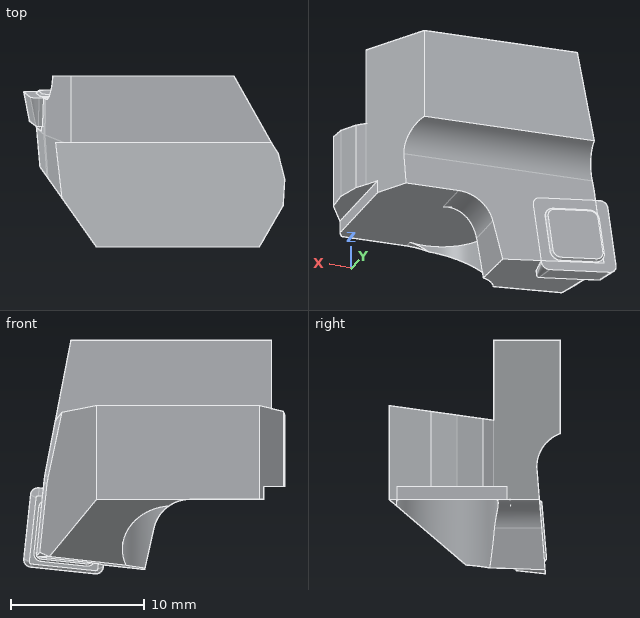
import cadquery as cq
import math

LENGTH = 19.62
DEPTH = 12.87
HEIGHT = 17.56

STEP_Y = 7.85
STEP_Z = 11.55
SHOULDER_FRONT_Z = 12.65
FRONT_BOTTOM_Z = 5.6
NOSE_FRONT_Y = 6.55
GROOVE_RADIUS = 2.65
GROOVE_Y = 11.1
GROOVE_Z = 8.05

FRONT_LEFT_X = 5.47
FRONT_LEFT_Y = 7.77
RIGHT_OUTLINE = [(17.7, 0), (19.5, 3.14), (LENGTH, 5.1), (19.13, 7.05), (18.62, STEP_Y), (15.8, DEPTH)]
RIGHT_STEP_X = 18.05
RIGHT_STEP_Z = 6.55

LEFT_FACES_POINT = (1.55, 8.45, 7.28)
REAR_UPPER_SLOPES = (0, 0.194)
REAR_LOWER_SLOPES = (0.0094, 0.1)
FRONT_UPPER_SLOPES = (-0.088, 0.187)
FRONT_LOWER_SLOPES = (-0.079, 0.093)
BEND_DEPTH = 0.014

NOSE_BOTTOM_POINT = (1.88, 5.1, 1.31)
NOSE_BOTTOM_NORMAL = (-0.11, -0.03, -1)
NOSE_CORNER_NORMAL = (-0.67, -0.15, -1)

UNDERCUT_RADIUS = 2.75
UNDERCUT_X = 12.48
UNDERCUT_ANGLE = 12.6
SCOOP_RADIUS = 3.83
SCOOP_CENTER = (11.25, 4.38)

INSERT_SIDE = 6.02
INSERT_CORNER_RADIUS = 0.59
INSERT_THICKNESS = 2.2
INSERT_TURN = -6.0
INSERT_CORNER = (-0.05, 0.57)
RAKE_Y = 11.75
RAKE_ANGLE = 4.75
RELIEF_ANGLE = 11.0
CHIP_RIM = 0.82
CHIP_HEIGHT = 0.18
CHIP_SLOPE_ANGLE = 45.0
PAD_INSET = 0.27
PAD_HEIGHT = 0.43
PAD_ANGLE = 25.0

OVERSIZE = 3 * LENGTH


def trim(body, point, normal):
    """Remove everything on the outward side of a plane."""
    cutter = cq.Workplane(cq.Plane(point, normal=normal)).rect(OVERSIZE, OVERSIZE).extrude(OVERSIZE)
    return body.cut(cutter)


def rake_plane(depth):
    """Plane parallel to the rake face, with its normal pointing into the insert."""
    lean = math.radians(RAKE_ANGLE)
    normal = cq.Vector(0, -math.cos(lean), -math.sin(lean))
    return cq.Plane(cq.Vector(0, RAKE_Y, 0) + normal * depth, xDir=(1, 0, 0), normal=normal)


def square_plate(depth, inset, radius, thickness, taper):
    """Rounded square prism about the insert's center, starting at a depth below the rake face."""
    turn = math.radians(INSERT_TURN)
    half = INSERT_SIDE / 2
    center_x = INSERT_CORNER[0] + half * (math.cos(turn) - math.sin(turn))
    center_y = INSERT_CORNER[1] + half * (math.sin(turn) + math.cos(turn))
    side = INSERT_SIDE - 2 * inset
    outline = cq.Sketch().rect(side, side).vertices().fillet(radius)
    placed = outline.moved(cq.Location(cq.Vector(center_x, center_y, 0), cq.Vector(0, 0, 1), INSERT_TURN))
    return cq.Workplane(rake_plane(depth)).placeSketch(placed).extrude(thickness, taper=taper)


def make_insert():
    plate = square_plate(0, 0, INSERT_CORNER_RADIUS, INSERT_THICKNESS, RELIEF_ANGLE)
    raised_inset = CHIP_RIM + CHIP_HEIGHT * math.tan(math.radians(CHIP_SLOPE_ANGLE))
    raised = square_plate(-CHIP_HEIGHT, raised_inset, INSERT_CORNER_RADIUS, CHIP_HEIGHT, -CHIP_SLOPE_ANGLE)
    return plate.union(raised)


def make_block():
    """Stepped cross-section, limited by the outline seen along Z."""
    rear_groove_z = GROOVE_Z + math.sqrt(GROOVE_RADIUS**2 - (GROOVE_Y + GROOVE_RADIUS - DEPTH) ** 2)
    arc_half = (math.pi + math.acos((DEPTH - GROOVE_Y - GROOVE_RADIUS) / GROOVE_RADIUS)) / 2
    arc_middle = (
        GROOVE_Y + GROOVE_RADIUS * (1 + math.cos(arc_half)),
        GROOVE_Z + GROOVE_RADIUS * math.sin(arc_half),
    )
    section = (
        cq.Workplane("YZ")
        .moveTo(0, FRONT_BOTTOM_Z)
        .lineTo(0, SHOULDER_FRONT_Z)
        .lineTo(STEP_Y, STEP_Z)
        .lineTo(STEP_Y, HEIGHT)
        .lineTo(DEPTH, HEIGHT)
        .lineTo(DEPTH, rear_groove_z)
        .threePointArc(arc_middle, (GROOVE_Y, GROOVE_Z))
        .lineTo(RAKE_Y, 0)
        .lineTo(NOSE_FRONT_Y, 0)
        .close()
        .extrude(LENGTH)
    )
    outline = [(FRONT_LEFT_X, 0), *RIGHT_OUTLINE, (0, DEPTH), (0, FRONT_LEFT_Y)]
    return section.intersect(cq.Workplane("XY").polyline(outline).close().extrude(HEIGHT))


def shape_left_side(body):
    """Upper and lower faces, front and rear, with a narrow bevel across each bend."""
    face_pairs = [(REAR_UPPER_SLOPES, REAR_LOWER_SLOPES), (FRONT_UPPER_SLOPES, FRONT_LOWER_SLOPES)]
    x, y, z = LEFT_FACES_POINT
    for upper, lower in face_pairs:
        middle = ((upper[0] + lower[0]) / 2, (upper[1] + lower[1]) / 2)
        for slopes, inward in [(upper, 0), (lower, 0), (middle, BEND_DEPTH)]:
            body = trim(body, (x + inward, y, z), (-1, *slopes))
    return body


def shape_nose(body):
    body = trim(body, NOSE_BOTTOM_POINT, NOSE_BOTTOM_NORMAL)
    return trim(body, NOSE_BOTTOM_POINT, NOSE_CORNER_NORMAL)


def cut_underside(body):
    """Clear the space under the right part, leaving a leaning, filleted nose end."""
    lean = math.radians(UNDERCUT_ANGLE)
    center_z = FRONT_BOTTOM_Z - UNDERCUT_RADIUS
    tangent_x = UNDERCUT_X - UNDERCUT_RADIUS * math.cos(lean)
    tangent_z = center_z + UNDERCUT_RADIUS * math.sin(lean)
    middle = (math.pi - lean + math.pi / 2) / 2
    arc_middle = (
        UNDERCUT_X + UNDERCUT_RADIUS * math.cos(middle),
        center_z + UNDERCUT_RADIUS * math.sin(middle),
    )
    clearance = (
        cq.Workplane("XZ")
        .moveTo(tangent_x - tangent_z * math.tan(lean), 0)
        .lineTo(tangent_x, tangent_z)
        .threePointArc(arc_middle, (UNDERCUT_X, FRONT_BOTTOM_Z))
        .lineTo(LENGTH, FRONT_BOTTOM_Z)
        .lineTo(LENGTH, 0)
        .close()
        .extrude(-DEPTH)
    )
    scoop = cq.Workplane("XY").center(*SCOOP_CENTER).circle(SCOOP_RADIUS).extrude(FRONT_BOTTOM_Z)
    right_step = cq.Workplane("XY").box(LENGTH, DEPTH, RIGHT_STEP_Z, centered=False)
    right_step = right_step.translate((RIGHT_STEP_X, 0, 0))
    return body.cut(clearance).cut(scoop).cut(right_step)


def add_seat(body, insert):
    """Pocket for the insert, on a smaller tapered pad that stands out past the nose."""
    floor_inset = INSERT_THICKNESS * math.tan(math.radians(RELIEF_ANGLE))
    pad = square_plate(INSERT_THICKNESS, floor_inset + PAD_INSET, INSERT_CORNER_RADIUS, PAD_HEIGHT, PAD_ANGLE)
    return body.cut(insert).union(pad)


insert = make_insert()
holder = make_block()
holder = shape_left_side(holder)
holder = shape_nose(holder)
holder = cut_underside(holder)
holder = add_seat(holder, insert)

result = cq.Compound.makeCompound([holder.solids().val(), insert.solids().val()])